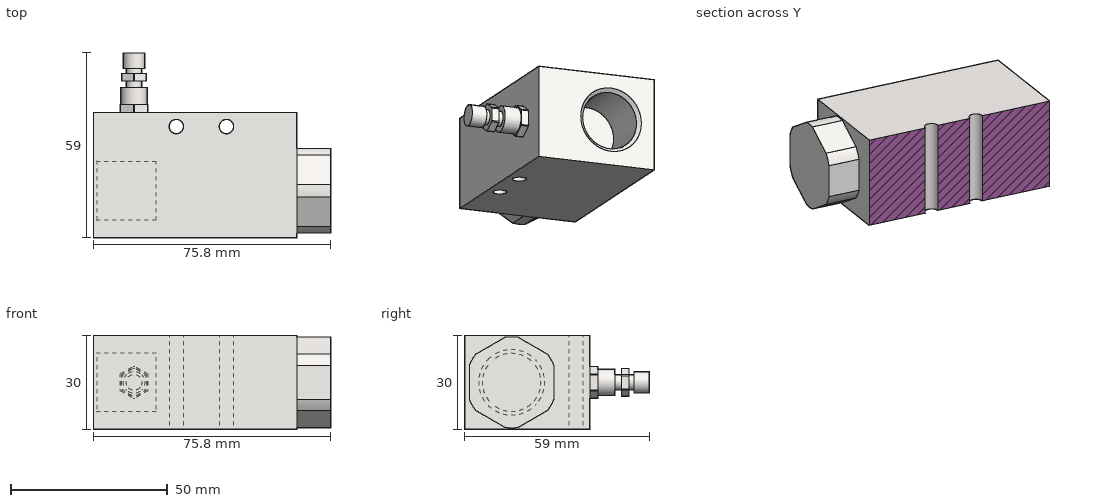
import cadquery as cq

BODY_LENGTH = 65.0
BODY_WIDTH = 40.0
BODY_HEIGHT = 30.0

MAIN_AXIS_Y = -25.0

PORT_DIAMETER = 18.63
PORT_MOUTH_DIAMETER = 21.0
PORT_DEPTH = 20.0
PORT_CHAMFER = (PORT_MOUTH_DIAMETER - PORT_DIAMETER) / 2

CAP_LENGTH = 10.8
CAP_ACROSS_FLATS = 27.0
CAP_CORNER_DIAMETER = 29.1

MOUNT_DIAMETER = 4.5
MOUNT_EDGE_DISTANCE = 4.5
MOUNT_FIRST_X = 26.5
MOUNT_SPACING = 16.0

ADJUSTER_X = 13.0
STUD_DIAMETER = 5.0
BASE_HEX_ACROSS_FLATS = 9.0
BASE_HEX_CORNER_DIAMETER = 10.2
BASE_HEX_HEIGHT = 2.5
COLLAR_DIAMETER = 8.5
COLLAR_TOP = 8.0
LOCKNUT_ACROSS_FLATS = 8.0
LOCKNUT_CORNER_DIAMETER = 9.0
LOCKNUT_BOTTOM = 10.0
LOCKNUT_HEIGHT = 2.5
KNOB_DIAMETER = 6.9
KNOB_BOTTOM = 14.0
ADJUSTER_LENGTH = 19.0


def cylinder(plane, diameter, start, length):
    """Cylinder along the plane normal, starting at the given distance from the plane."""
    return cq.Workplane(plane).workplane(offset=start).circle(diameter / 2).extrude(length)


def rounded_hexagon(plane, across_flats, corner_diameter, start, length):
    """Hexagonal prism along the plane normal, two flats square to the plane's
    X direction, corners turned down to the corner diameter."""
    prism = cylinder(plane, corner_diameter, start, length)
    slab_width = 2 * corner_diameter
    for angle in (0, 60, 120):
        slab = (
            cq.Workplane(plane)
            .workplane(offset=start)
            .transformed(rotate=(0, 0, angle))
            .rect(across_flats, slab_width)
            .extrude(length)
        )
        prism = prism.intersect(slab)
    return prism


def make_body():
    block = cq.Workplane("XY").box(BODY_LENGTH, BODY_WIDTH, BODY_HEIGHT)
    return block.translate((BODY_LENGTH / 2, -BODY_WIDTH / 2, 0))


def make_port(plane):
    """Blind bore with a chamfered mouth."""
    bore = cylinder(plane, PORT_DIAMETER, 0, PORT_DEPTH)
    mouth = (
        cq.Workplane(plane)
        .circle(PORT_MOUTH_DIAMETER / 2)
        .workplane(offset=PORT_CHAMFER)
        .circle(PORT_DIAMETER / 2)
        .loft()
    )
    return bore.union(mouth)


def make_mounting_holes():
    first = (MOUNT_FIRST_X, -MOUNT_EDGE_DISTANCE)
    second = (MOUNT_FIRST_X + MOUNT_SPACING, -MOUNT_EDGE_DISTANCE)
    return (
        cq.Workplane("XY")
        .pushPoints([first, second])
        .circle(MOUNT_DIAMETER / 2)
        .extrude(BODY_HEIGHT / 2, both=True)
    )


def make_adjuster(plane):
    """Plain stud carrying a hexagonal base with collar, a locknut and a knob."""
    stud = cylinder(plane, STUD_DIAMETER, 0, ADJUSTER_LENGTH)
    base = rounded_hexagon(plane, BASE_HEX_ACROSS_FLATS, BASE_HEX_CORNER_DIAMETER, 0, BASE_HEX_HEIGHT)
    collar = cylinder(plane, COLLAR_DIAMETER, BASE_HEX_HEIGHT, COLLAR_TOP - BASE_HEX_HEIGHT)
    locknut = rounded_hexagon(
        plane, LOCKNUT_ACROSS_FLATS, LOCKNUT_CORNER_DIAMETER, LOCKNUT_BOTTOM, LOCKNUT_HEIGHT
    )
    knob = cylinder(plane, KNOB_DIAMETER, KNOB_BOTTOM, ADJUSTER_LENGTH - KNOB_BOTTOM)
    return stud.union(base).union(collar).union(locknut).union(knob)


main_plane = cq.Plane(origin=(0, MAIN_AXIS_Y, 0), xDir=(0, 1, 0), normal=(1, 0, 0))
adjuster_plane = cq.Plane(origin=(ADJUSTER_X, 0, 0), xDir=(1, 0, 0), normal=(0, 1, 0))

end_cap = rounded_hexagon(main_plane, CAP_ACROSS_FLATS, CAP_CORNER_DIAMETER, BODY_LENGTH, CAP_LENGTH)

result = (
    make_body()
    .union(end_cap)
    .union(make_adjuster(adjuster_plane))
    .cut(make_port(main_plane))
    .cut(make_mounting_holes())
)